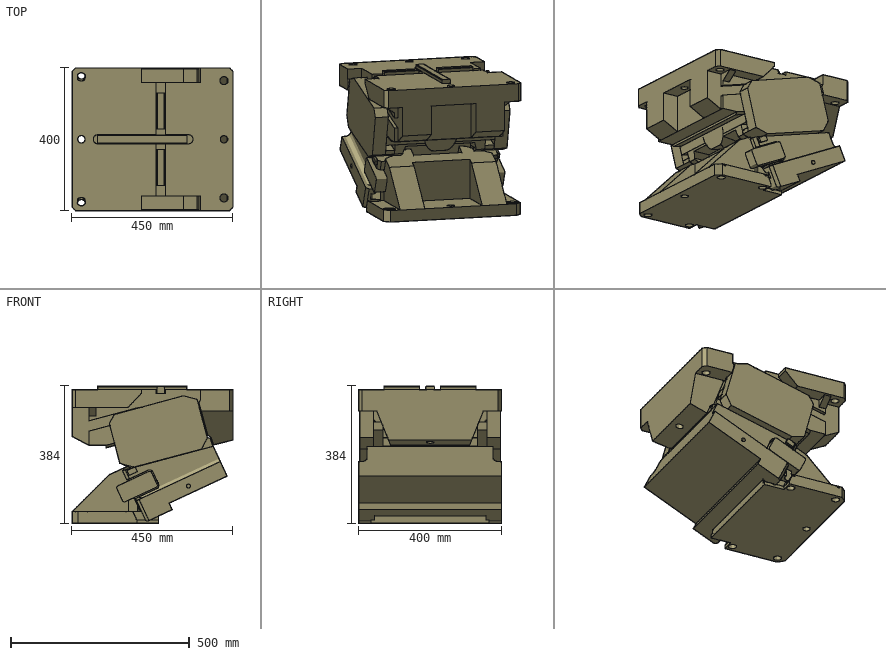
import cadquery as cq
import math

LENGTH = 450.0
WIDTH = 400.0
HALF_WIDTH = WIDTH / 2
HEIGHT = 384.0
UPPER_TILT = 15.0
LOWER_TILT = 25.0
UPPER_SLOPE = math.tan(math.radians(UPPER_TILT))
LOWER_SLOPE = math.tan(math.radians(LOWER_TILT))
FAR = 600.0

BASE_THICKNESS = 33.0
BASE_LENGTH = 242.0
BASE_CHAMFER = 16.0
LEDGE_HEIGHT = 10.0
LEDGE_HALF_WIDTH = 165.0
LEDGE_START = 170.0
WEDGE_HALF_WIDTH = 156.0
WEDGE_TOP = (104.0, 136.5)
GUIDE_STEP = 72.0
POCKET_HALF_WIDTH = 84.0
POCKET_DEPTH = 120.0
WEDGE_SIDE_END = 42.0
WEDGE_PEAK_END = 83.0
WEDGE_NOTCH_END = 52.0
NOTCH_HALF_WIDTH = 70.5
PEAK_HALF_WIDTH = 85.0
GUSSET_HALF_WIDTH = 185.0
GUSSET_START = 158.0
GUSSET_END = 191.0
GUSSET_TOP = 70.0
BASE_HOLE_X = 26.0
BASE_REAR_HOLE_X = 167.0
BASE_HOLE_Y = 180.0
COUNTERBORE_DIAMETER = 34.0
COUNTERBORE_DEPTH = 3.0

BAR_LENGTH = 107.0
BAR_HEIGHT = 49.0
BAR_CENTER = (56.0, -63.0)
BAR_OUTER = 188.0
BAR_FILLET = 6.0
BAR_CLEARANCE = 4.0

SLIDE_START = 38.0
SLIDE_END = 297.0
SLIDE_BOTTOM = -143.3
FOOT_DEPTH = 20.0
FOOT_END = 118.0
FOOT_FILLET = 6.0
SLIDE_CHAMFER = 8.0
SLIDE_HALF_WIDTH = 176.0
WING_TOP = -98.0
WING_FILLET = 14.0
PIN_HOLE = (187.0, -122.5)
PIN_HOLE_DIAMETER = 11.0
PIN_HOLE_DEPTH = 15.0
PAD_CENTER = (62.0, -18.0)
PAD_SIZE = (25.0, 15.0)
PAD_HEIGHT = 6.0

HEAD_HALF_WIDTH = 159.0
HEAD_FRONT_X = 120.0
NECK_HALF_WIDTH = 132.0
NECK_TOE = (134.5, 168.0)
NECK_BACK_STEP = (386.0, 239.0)
NECK_BACK = (394.0, 216.0)
NECK_ROOT_Z = 152.0
HEAD_THICKNESS = 24.6
OPENING_TOP = 189.0
OPENING_END = 179.0
OPENING_HALF_WIDTH = 107.0
OPENING_TOP_HALF_WIDTH = 101.0
SPRING_RADIUS = 47.0
SPRING_LENGTH = 94.0
SPRING_START_X = 122.0
SPRING_CENTER_Z = 211.0
SPRING_FLAT_Z = 171.0

PLATE_TOP = 374.0
PLATE_THICKNESS = 50.0
PLATE_BACK_THICKNESS = 60.0
PLATE_CHAMFER = 10.0
PLATE_BOTTOM = PLATE_TOP - PLATE_THICKNESS
PLATE_BACK_BOTTOM = PLATE_TOP - PLATE_BACK_THICKNESS
BLOCK_HALF_WIDTH = 149.0
BLOCK_BOTTOM = 218.4
BLOCK_NOSE_BOTTOM = 243.0
FRONT_POCKET_DEPTH = 46.6
FRONT_POCKET_HALF_WIDTH = 65.0
GUIDE_START = (94.0, 211.0)
GROOVE_BOTTOM = 258.0
GROOVE_TOP = 287.0
RAIL_CHAMFER = 7.0
BRACE_END = 67.0
BRACE_OUTER = 192.0
BRACE_BOTTOM = 301.0
BACK_GAP = 2.5
CHEEK_INNER = 159.0
CHEEK_OUTER = 197.0
CHEEK_CLEARANCE = 1.0
CHEEK_FRONT = (104.0, 280.0)
CHEEK_TOP_FRONT = (118.0, 304.5)
CHEEK_TOP_BACK = (311.0, 357.0)
CHEEK_BACK_TOP = (349.5, 347.0)
CHEEK_BACK_BOTTOM = (378.4, 240.0)
CHEEK_LOW_BACK = (362.0, 208.0)
CHEEK_LOW_FRONT = (172.0, 157.5)
CHEEK_TOE = (132.7, 168.0)
CHEEK_CORNERS = [
    CHEEK_FRONT,
    CHEEK_TOP_FRONT,
    CHEEK_TOP_BACK,
    CHEEK_BACK_TOP,
    CHEEK_BACK_BOTTOM,
    CHEEK_LOW_BACK,
    CHEEK_LOW_FRONT,
    CHEEK_TOE,
]
FOOT_TOP = 179.0
BACK_KNEE_Z = 247.0
BACK_STEP = (388.0, 241.0)
BACK_TOE = (395.0, 219.4)
BACK_END_Z = 233.0
BACK_DRAFT = 22.0
NOTCH_FRONT_LOW = (145.5, 313.5)
NOTCH_FRONT_HIGH = (194.0, 364.0)
NOTCH_BACK_X = 359.0
NOTCH_BACK_Z = 346.0
NOTCH_BACK_KNEE_Z = 338.0
PLATE_HOLE_X = 25.5
PLATE_FRONT_HOLE_Y = 174.5
PLATE_BACK_HOLE_Y = 164.0
BOLT_HOLE_DIAMETER = 22.5
DOWEL_HOLE_DIAMETER = 20.5

KEY_SLOT_WIDTH = 25.7
KEY_SLOT_DEPTH = 10.0
LONG_SLOT = (59.0, 338.0)
LONG_KEY = (71.0, 321.0)
LONG_KEY_WIDTH = 25.0
CROSS_SLOT_X = 248.0
CROSS_KEY_WIDTH = 21.5
CROSS_KEY_Y = (29.0, 129.0)
KEY_CHAMFER = 2.0


def side_profile(points, half_width):
    """Prism of an XZ outline, centred on Y = 0."""
    return cq.Workplane("XZ").polyline(points).close().extrude(half_width, both=True)


def side_pair(points, inner, outer):
    """Two mirrored prisms of an XZ outline between two distances from Y = 0."""
    near = cq.Workplane("XZ", origin=(0, -inner, 0)).polyline(points).close().extrude(outer - inner)
    return near.union(near.mirror("XZ"))


def box(x_range, y_range, z_range):
    size = [high - low for low, high in (x_range, y_range, z_range)]
    corner = (x_range[0], y_range[0], z_range[0])
    return cq.Workplane("XY").box(*size, centered=False).translate(corner)


def upper_line(start, x):
    """Z at x on the line through start that follows the upper guide."""
    return start[1] + (x - start[0]) * UPPER_SLOPE


def wedge_line(x):
    """Z at x on the sloped top of the base wedge."""
    return WEDGE_TOP[1] + (x - WEDGE_TOP[0]) * LOWER_SLOPE


def from_lower_frame(part):
    """Move a part drawn in the lower guide frame into place."""
    turned = part.rotate((0, 0, 0), (0, 1, 0), -LOWER_TILT)
    return turned.translate((WEDGE_TOP[0], 0, WEDGE_TOP[1]))


def hook_bars(clearance, outer):
    """Rounded bars on both flanks, grown by a clearance when used as a recess."""
    bar = (
        cq.Workplane("XZ", origin=(0, -WEDGE_HALF_WIDTH, 0))
        .center(*BAR_CENTER)
        .rect(BAR_LENGTH + 2 * clearance, BAR_HEIGHT + 2 * clearance)
        .extrude(outer - WEDGE_HALF_WIDTH)
        .edges("|Y")
        .fillet(BAR_FILLET + clearance)
    )
    return from_lower_frame(bar.union(bar.mirror("XZ")))


def above_guide():
    """Space over the guide face, bounded in front by the swept end of the wedge top."""
    half = [
        (WEDGE_NOTCH_END, NOTCH_HALF_WIDTH),
        (WEDGE_PEAK_END, NOTCH_HALF_WIDTH),
        (WEDGE_PEAK_END, PEAK_HALF_WIDTH),
        (WEDGE_SIDE_END, WEDGE_HALF_WIDTH),
        (FAR, WEDGE_HALF_WIDTH),
    ]
    outline = half + [(u, -y) for u, y in reversed(half)]
    space = cq.Workplane("XY", origin=(0, 0, -GUIDE_STEP)).polyline(outline).close().extrude(FAR)
    return from_lower_frame(space)


def make_base():
    plate = box((0, BASE_LENGTH), (-HALF_WIDTH, HALF_WIDTH), (0, BASE_THICKNESS))
    plate = plate.edges("|Z and <X").chamfer(BASE_CHAMFER)
    ledge_toe = LEDGE_START + (BASE_THICKNESS - LEDGE_HEIGHT) * LOWER_SLOPE
    wing_relief = [
        (LEDGE_START, BASE_THICKNESS),
        (ledge_toe, LEDGE_HEIGHT),
        (FAR, LEDGE_HEIGHT),
        (FAR, BASE_THICKNESS),
    ]
    plate = plate.cut(side_pair(wing_relief, WEDGE_HALF_WIDTH, HALF_WIDTH))
    wing_room = box((ledge_toe, BASE_LENGTH), (LEDGE_HALF_WIDTH, HALF_WIDTH), (0, BASE_THICKNESS))
    plate = plate.cut(wing_room).cut(wing_room.mirror("XZ"))

    wedge = side_profile(
        [
            (0, BASE_THICKNESS),
            WEDGE_TOP,
            (BASE_LENGTH, wedge_line(BASE_LENGTH)),
            (BASE_LENGTH, BASE_THICKNESS),
        ],
        WEDGE_HALF_WIDTH,
    )
    wedge = wedge.cut(above_guide())
    pocket = box(
        (0, POCKET_DEPTH), (-POCKET_HALF_WIDTH, POCKET_HALF_WIDTH), (BASE_THICKNESS, HEIGHT)
    )
    wedge = wedge.cut(pocket)

    gusset = side_pair(
        [
            (GUSSET_START, BASE_THICKNESS),
            (GUSSET_START, GUSSET_TOP),
            (GUSSET_END - (GUSSET_TOP - BASE_THICKNESS) * LOWER_SLOPE, GUSSET_TOP),
            (GUSSET_END, BASE_THICKNESS),
        ],
        WEDGE_HALF_WIDTH,
        GUSSET_HALF_WIDTH,
    )
    base = plate.union(wedge).union(gusset)

    bolt_places = [(x, y) for x in (BASE_HOLE_X, BASE_REAR_HOLE_X) for y in (-BASE_HOLE_Y, BASE_HOLE_Y)]
    bolts = cq.Workplane("XY").pushPoints(bolt_places)
    base = base.cut(bolts.circle(BOLT_HOLE_DIAMETER / 2).extrude(BASE_THICKNESS))
    counterbores = (
        cq.Workplane("XY", origin=(0, 0, BASE_THICKNESS - COUNTERBORE_DEPTH))
        .pushPoints(bolt_places)
        .circle(COUNTERBORE_DIAMETER / 2)
        .extrude(GUSSET_TOP)
    )
    base = base.cut(counterbores).union(hook_bars(0, BAR_OUTER))
    dowel = cq.Workplane("XY").center(BASE_HOLE_X, 0).circle(DOWEL_HOLE_DIAMETER / 2)
    return base.cut(dowel.extrude(BASE_THICKNESS))


HEAD_TOP_FRONT = (HEAD_FRONT_X, upper_line(GUIDE_START, HEAD_FRONT_X))


def back_face(z):
    """X at z on the plane square to the upper guide that ends cheeks, rail and head."""
    return CHEEK_BACK_TOP[0] + (CHEEK_BACK_TOP[1] - z) * UPPER_SLOPE


def back_corner(start):
    """Point where the guide-parallel line through start meets the back face."""
    x = back_face(upper_line(start, 0)) / (1 + UPPER_SLOPE**2)
    return (x, upper_line(start, x))


HEAD_TOP_BACK = back_corner(GUIDE_START)
HEAD_BOTTOM_BACK = back_corner((GUIDE_START[0], GUIDE_START[1] - HEAD_THICKNESS))
HEAD_UNDERSIDE_FRONT_X = HEAD_TOP_FRONT[0] + HEAD_THICKNESS * UPPER_SLOPE


def underside(x):
    """Z at x on the underside of the slide head."""
    return upper_line(GUIDE_START, x) - HEAD_THICKNESS


def shelf(x):
    """Z at x on the slide face just below the cheeks."""
    return upper_line(CHEEK_LOW_BACK, x) - CHEEK_CLEARANCE


def make_slide_saddle():
    """Lower half of the slide, with the wings that straddle the base."""
    saddle = side_profile(
        [
            (SLIDE_START, SLIDE_BOTTOM - FOOT_DEPTH),
            (FOOT_END, SLIDE_BOTTOM - FOOT_DEPTH),
            (FOOT_END, SLIDE_BOTTOM),
            (SLIDE_END, SLIDE_BOTTOM),
            (SLIDE_END, HEIGHT),
            (SLIDE_START, HEIGHT),
        ],
        HALF_WIDTH,
    )
    foot_corner = cq.selectors.NearestToPointSelector((SLIDE_START, 0, SLIDE_BOTTOM - FOOT_DEPTH))
    saddle = saddle.edges("|Y").edges(foot_corner).fillet(FOOT_FILLET)
    fillet_middle = WING_FILLET * (1 - math.sqrt(0.5))
    wing_relief = (
        cq.Workplane("YZ")
        .moveTo(HALF_WIDTH, WING_TOP)
        .lineTo(SLIDE_HALF_WIDTH + WING_FILLET, WING_TOP)
        .threePointArc(
            (SLIDE_HALF_WIDTH + fillet_middle, WING_TOP + fillet_middle),
            (SLIDE_HALF_WIDTH, WING_TOP + WING_FILLET),
        )
        .lineTo(SLIDE_HALF_WIDTH, HEIGHT)
        .lineTo(HALF_WIDTH, HEIGHT)
        .close()
        .extrude(FAR)
    )
    saddle = saddle.cut(wing_relief).cut(wing_relief.mirror("XZ"))
    for half_width, low, high in (
        (HALF_WIDTH, -FAR, WING_TOP),
        (SLIDE_HALF_WIDTH, WING_TOP, FAR),
    ):
        corner = (
            cq.Workplane("XY", origin=(SLIDE_START, 0, low))
            .polyline(
                [
                    (0, half_width - SLIDE_CHAMFER),
                    (0, half_width + 2 * SLIDE_CHAMFER),
                    (3 * SLIDE_CHAMFER, half_width + 2 * SLIDE_CHAMFER),
                ]
            )
            .close()
            .extrude(high - low)
        )
        saddle = saddle.cut(corner).cut(corner.mirror("XZ"))

    pin_holes = (
        cq.Workplane("XZ", origin=(0, -HALF_WIDTH + PIN_HOLE_DEPTH, 0))
        .center(*PIN_HOLE)
        .circle(PIN_HOLE_DIAMETER / 2)
        .extrude(PIN_HOLE_DEPTH)
    )
    saddle = saddle.cut(pin_holes).cut(pin_holes.mirror("XZ"))
    pad = (
        cq.Workplane("XZ", origin=(0, -SLIDE_HALF_WIDTH, 0))
        .center(*PAD_CENTER)
        .rect(*PAD_SIZE)
        .extrude(PAD_HEIGHT)
    )
    saddle = saddle.union(pad).union(pad.mirror("XZ"))
    below_shelf = side_profile([(0, shelf(0)), (FAR, shelf(FAR)), (FAR, -FAR), (0, -FAR)], HALF_WIDTH)
    return from_lower_frame(saddle).intersect(below_shelf)


def make_slide(base):
    saddle = make_slide_saddle()
    head = side_profile(
        [
            HEAD_TOP_FRONT,
            HEAD_TOP_BACK,
            HEAD_BOTTOM_BACK,
            (HEAD_UNDERSIDE_FRONT_X, underside(HEAD_UNDERSIDE_FRONT_X)),
        ],
        HEAD_HALF_WIDTH,
    )
    neck = side_profile(
        [
            HEAD_TOP_FRONT,
            HEAD_TOP_BACK,
            CHEEK_BACK_BOTTOM,
            NECK_BACK_STEP,
            NECK_BACK,
            (NECK_BACK[0], NECK_ROOT_Z),
            (CHEEK_LOW_FRONT[0], NECK_ROOT_Z),
            NECK_TOE,
        ],
        NECK_HALF_WIDTH,
    )
    slide = saddle.union(head).union(neck)

    opening = (
        cq.Workplane("YZ")
        .polyline(
            [
                (-OPENING_HALF_WIDTH, BASE_THICKNESS),
                (-OPENING_HALF_WIDTH, SPRING_FLAT_Z),
                (-OPENING_TOP_HALF_WIDTH, OPENING_TOP),
                (OPENING_TOP_HALF_WIDTH, OPENING_TOP),
                (OPENING_HALF_WIDTH, SPRING_FLAT_Z),
                (OPENING_HALF_WIDTH, BASE_THICKNESS),
            ]
        )
        .close()
        .extrude(FAR)
    )
    opening = opening.intersect(
        side_profile(
            [
                (0, 0),
                (0, OPENING_TOP),
                (OPENING_END, OPENING_TOP),
                (OPENING_END + OPENING_TOP * LOWER_SLOPE, 0),
            ],
            OPENING_HALF_WIDTH,
        )
    )
    spring = (
        cq.Workplane("YZ")
        .circle(SPRING_RADIUS)
        .extrude(SPRING_LENGTH)
        .rotate((0, 0, 0), (0, 1, 0), -UPPER_TILT)
        .translate((SPRING_START_X, 0, SPRING_CENTER_Z))
    )
    spring = spring.intersect(
        side_profile(
            [
                (SPRING_START_X - SPRING_RADIUS, SPRING_FLAT_Z),
                (SPRING_START_X - SPRING_RADIUS, upper_line(GUIDE_START, SPRING_START_X - SPRING_RADIUS)),
                (FAR, upper_line(GUIDE_START, FAR)),
                (FAR, SPRING_FLAT_Z),
            ],
            HALF_WIDTH,
        )
    )
    slide = slide.cut(opening).union(spring)
    return slide.cut(hook_bars(BAR_CLEARANCE, HALF_WIDTH)).cut(base)


def make_top_plate():
    plate = box((0, LENGTH), (-HALF_WIDTH, HALF_WIDTH), (PLATE_BOTTOM, PLATE_TOP))
    low = PLATE_BACK_BOTTOM
    back = box((back_face(low), LENGTH), (-HALF_WIDTH, HALF_WIDTH), (low, PLATE_TOP))
    plate = plate.union(back).edges("|Z and (<X or >X)").chamfer(PLATE_CHAMFER)
    notch = [
        (NOTCH_FRONT_HIGH[0], PLATE_TOP),
        NOTCH_FRONT_HIGH,
        NOTCH_FRONT_LOW,
        (back_face(low) + BACK_GAP, low),
        (back_face(NOTCH_BACK_KNEE_Z) + BACK_GAP, NOTCH_BACK_KNEE_Z),
        (NOTCH_BACK_X, NOTCH_BACK_Z),
        (NOTCH_BACK_X, PLATE_TOP),
    ]
    return plate.cut(side_pair(notch, CHEEK_INNER, HALF_WIDTH))


def make_guide_block():
    block = side_profile(
        [
            (0, PLATE_BOTTOM),
            (0, BLOCK_NOSE_BOTTOM),
            (FRONT_POCKET_DEPTH, BLOCK_BOTTOM),
            (GUIDE_START[0], BLOCK_BOTTOM),
            GUIDE_START,
            HEAD_TOP_BACK,
            (back_face(PLATE_BOTTOM), PLATE_BOTTOM),
        ],
        BLOCK_HALF_WIDTH,
    )
    pocket = box(
        (0, FRONT_POCKET_DEPTH), (-FRONT_POCKET_HALF_WIDTH, FRONT_POCKET_HALF_WIDTH), (0, PLATE_BOTTOM)
    )
    return block.cut(pocket)


def make_rails():
    """Side rails of the guide block, the strips above their grooves and the braces in front."""
    front_x = FRONT_POCKET_DEPTH
    rails = side_profile(
        [
            (front_x, BLOCK_BOTTOM),
            (GUIDE_START[0], BLOCK_BOTTOM),
            GUIDE_START,
            HEAD_TOP_BACK,
            (back_face(PLATE_BACK_BOTTOM), PLATE_BACK_BOTTOM),
            (front_x + (PLATE_BACK_BOTTOM - GROOVE_BOTTOM) / UPPER_SLOPE, PLATE_BACK_BOTTOM),
            (front_x, GROOVE_BOTTOM),
        ],
        CHEEK_INNER,
    )
    for side in (-CHEEK_INNER, CHEEK_INNER):
        middle_x = (GUIDE_START[0] + HEAD_TOP_BACK[0]) / 2
        guide_edge = (middle_x, side, upper_line(GUIDE_START, middle_x))
        rails = rails.edges(cq.selectors.NearestToPointSelector(guide_edge)).chamfer(RAIL_CHAMFER)
    strips = side_profile(
        [
            (front_x, GROOVE_TOP),
            (front_x, PLATE_BOTTOM),
            (front_x + (PLATE_BOTTOM - GROOVE_TOP) / UPPER_SLOPE, PLATE_BOTTOM),
        ],
        CHEEK_INNER,
    )
    braces = (
        cq.Workplane("YZ", origin=(front_x, 0, 0))
        .polyline(
            [
                (-BRACE_OUTER, PLATE_BOTTOM),
                (-CHEEK_INNER, BRACE_BOTTOM),
                (CHEEK_INNER, BRACE_BOTTOM),
                (BRACE_OUTER, PLATE_BOTTOM),
            ]
        )
        .close()
        .extrude(BRACE_END - front_x)
    )
    return rails.union(strips).union(braces)


def make_cheeks():
    """Side cheeks whose feet reach under the slide head."""
    cheeks = side_pair(CHEEK_CORNERS, CHEEK_INNER, CHEEK_OUTER)
    foot_toe_x = CHEEK_FRONT[0] + (CHEEK_FRONT[1] - FOOT_TOP) * UPPER_SLOPE
    foot_back_x = CHEEK_LOW_FRONT[0]
    feet = side_pair(
        [
            CHEEK_TOE,
            (foot_toe_x, FOOT_TOP),
            (foot_back_x, upper_line((foot_toe_x, FOOT_TOP), foot_back_x)),
            CHEEK_LOW_FRONT,
        ],
        NECK_HALF_WIDTH,
        CHEEK_INNER,
    )
    return cheeks.union(feet)


def make_back_block():
    """Stop behind the slide, with flanks that draw in towards the bottom."""
    draft = math.tan(math.radians(BACK_DRAFT)) * (PLATE_BACK_BOTTOM - BACK_TOE[1])
    low_half_width = BLOCK_HALF_WIDTH - draft
    block = side_profile(
        [
            (back_face(PLATE_BACK_BOTTOM) + BACK_GAP, PLATE_BACK_BOTTOM),
            (back_face(BACK_KNEE_Z) + BACK_GAP, BACK_KNEE_Z),
            BACK_STEP,
            BACK_TOE,
            (LENGTH, BACK_END_Z),
            (LENGTH, PLATE_BACK_BOTTOM),
        ],
        HALF_WIDTH,
    )
    flanks = (
        cq.Workplane("YZ")
        .polyline(
            [
                (-BLOCK_HALF_WIDTH, PLATE_BACK_BOTTOM),
                (BLOCK_HALF_WIDTH, PLATE_BACK_BOTTOM),
                (low_half_width, BACK_TOE[1]),
                (-low_half_width, BACK_TOE[1]),
            ]
        )
        .close()
        .extrude(LENGTH)
    )
    return block.intersect(flanks)


def cut_key_slots(upper):
    floor = PLATE_TOP - KEY_SLOT_DEPTH
    long_slot = (
        cq.Workplane("XY", origin=(sum(LONG_SLOT) / 2, 0, floor))
        .slot2D(LONG_SLOT[1] - LONG_SLOT[0], KEY_SLOT_WIDTH)
        .extrude(KEY_SLOT_DEPTH)
    )
    cross_slot = (
        cq.Workplane("XY", origin=(CROSS_SLOT_X, 0, floor))
        .rect(KEY_SLOT_WIDTH, WIDTH)
        .extrude(KEY_SLOT_DEPTH)
    )
    inside = box((0, LENGTH), (-CHEEK_INNER, CHEEK_INNER), (floor, PLATE_TOP))
    return upper.cut(long_slot).cut(cross_slot.intersect(inside))


def make_keys():
    floor = PLATE_TOP - KEY_SLOT_DEPTH
    half_long = LONG_KEY_WIDTH / 2
    long_key = box(LONG_KEY, (-half_long, half_long), (floor, HEIGHT))
    keys = long_key.edges(">Z and |X").chamfer(KEY_CHAMFER)
    half_cross = CROSS_KEY_WIDTH / 2
    cross_key = box((CROSS_SLOT_X - half_cross, CROSS_SLOT_X + half_cross), CROSS_KEY_Y, (floor, HEIGHT))
    cross_key = cross_key.edges(">Z and |Y").chamfer(KEY_CHAMFER)
    return keys.union(cross_key).union(cross_key.mirror("XZ"))


def drill_plate(upper):
    back_x = LENGTH - PLATE_HOLE_X
    for x, offset, diameter in (
        (PLATE_HOLE_X, PLATE_FRONT_HOLE_Y, BOLT_HOLE_DIAMETER),
        (back_x, PLATE_BACK_HOLE_Y, BOLT_HOLE_DIAMETER),
        (PLATE_HOLE_X, 0, DOWEL_HOLE_DIAMETER),
        (back_x, 0, DOWEL_HOLE_DIAMETER),
    ):
        for y in sorted({offset, -offset}):
            hole = cq.Workplane("XY").center(x, y).circle(diameter / 2).extrude(HEIGHT)
            upper = upper.cut(hole)
    return upper


def make_upper():
    upper = make_top_plate().union(make_guide_block()).union(make_rails())
    upper = upper.union(make_cheeks()).union(make_back_block())
    upper = cut_key_slots(upper).union(make_keys())
    return drill_plate(upper)


base = make_base()
slide = make_slide(base)
upper = make_upper()
result = cq.Compound.makeCompound([base.val(), slide.val(), upper.val()])